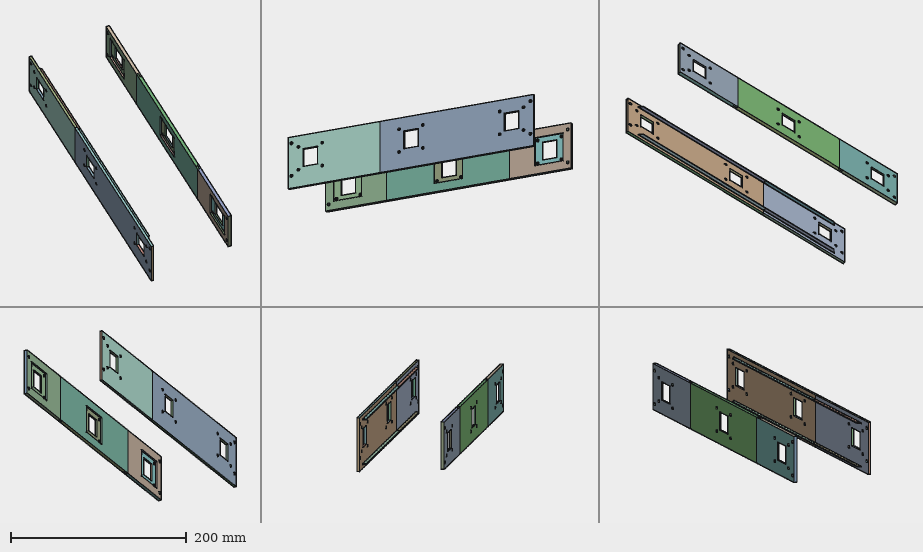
import cadquery as cq

length = 310.0
overall_depth = 102.0

front_thickness = 3.05
front_height = 62.5
front_seam_x = -39.0

rib_depth = 4.0
rib_thickness = 1.0
rib_inset_z = 5.3
rib_end_gap = 15.0
rib_end_slant = 4.0

rear_thickness = 4.0
rear_height = 55.2
lap_centre_x = 75.0
lap_length = 5.3

station_pitch = 127.0
window_width = 18.3
window_height = 21.7
screw_pitch_x = 30.0
screw_pitch_z = 28.0
screw_diameter = 3.0

recess_width = 36.0
recess_height = 34.0
recess_depth = 2.0

mount_diameter = 3.5
mount_inset_x = 4.0
mount_pitch_z = 40.0

half_length = length / 2
panel_top = rear_height / 2
front_bottom = panel_top - front_height
rear_face_y = overall_depth - rear_thickness
lap_split_y = overall_depth - rear_thickness / 2
stations = [(step * station_pitch, 0) for step in (-1, 0, 1)]


def block(x_range, y_range, z_range):
    """Axis-aligned block between the given limits."""
    size = [high - low for low, high in (x_range, y_range, z_range)]
    corner = (x_range[0], y_range[0], z_range[0])
    return cq.Workplane("XY").box(*size, centered=False).translate(corner)


def plane_at(y):
    """XZ sketch plane at depth y; its normal is -Y, so a negative extrusion runs toward +Y."""
    return cq.Workplane("XZ", origin=(0, y, 0))


def panel_openings(y, depth):
    """Windows, screw holes and end mounting holes, as one cutter starting at y."""
    windows = plane_at(y).pushPoints(stations).rect(window_width, window_height).extrude(-depth)
    screw_points = [
        (x + side * screw_pitch_x / 2, level * screw_pitch_z / 2)
        for x, _ in stations for side in (-1, 1) for level in (-1, 1)
    ]
    screws = plane_at(y).pushPoints(screw_points).circle(screw_diameter / 2).extrude(-depth)
    mount_pitch_x = length - 2 * mount_inset_x
    mounts = (
        plane_at(y).rect(mount_pitch_x, mount_pitch_z, forConstruction=True)
        .vertices().circle(mount_diameter / 2).extrude(-depth)
    )
    return windows.add(screws).add(mounts).combine()


def rib(z_centre):
    """Rib along X with slanted ends, standing on the back of the front panel."""
    base_x = half_length - rib_end_gap
    tip_x = base_x - rib_end_slant
    tip_y = front_thickness + rib_depth
    outline = [(-base_x, front_thickness), (base_x, front_thickness), (tip_x, tip_y), (-tip_x, tip_y)]
    bottom = z_centre - rib_thickness / 2
    return cq.Workplane("XY", origin=(0, 0, bottom)).polyline(outline).close().extrude(rib_thickness)


def front_panel_piece(x_start, x_end):
    """Part of the ribbed front panel between two X limits."""
    panel = block((-half_length, half_length), (0, front_thickness), (front_bottom, panel_top))
    for z in (front_bottom + rib_inset_z, panel_top - rib_inset_z):
        panel = panel.union(rib(z))
    panel = panel.cut(panel_openings(0, front_thickness))
    span = block((x_start, x_end), (0, front_thickness + rib_depth), (front_bottom, panel_top))
    return panel.intersect(span)


def rear_panel():
    """Whole rear panel with openings and recesses, before it is divided."""
    panel = block((-half_length, half_length), (rear_face_y, overall_depth), (-panel_top, panel_top))
    recesses = (
        plane_at(rear_face_y).pushPoints(stations)
        .rect(recess_width, recess_height).extrude(-recess_depth)
    )
    return panel.cut(recesses).cut(panel_openings(rear_face_y, rear_thickness))


def rear_middle_span():
    """Space of the middle piece: its front half overlaps the end pieces at the laps."""
    front_x = lap_centre_x + lap_length / 2
    back_x = lap_centre_x - lap_length / 2
    z_range = (-panel_top, panel_top)
    front_layer = block((-front_x, front_x), (rear_face_y, lap_split_y), z_range)
    back_layer = block((-back_x, back_x), (lap_split_y, overall_depth), z_range)
    return front_layer.union(back_layer)


def rear_end_piece(side):
    """End piece of the rear panel; side is -1 for the left end and 1 for the right end."""
    x_range = sorted((0, side * half_length))
    half = block(x_range, (rear_face_y, overall_depth), (-panel_top, panel_top))
    return rear_panel().intersect(half).cut(rear_middle_span())


front_left = front_panel_piece(-half_length, front_seam_x)
front_right = front_panel_piece(front_seam_x, half_length)
rear_middle = rear_panel().intersect(rear_middle_span())
rear_ends = [rear_end_piece(side) for side in (-1, 1)]

result = cq.Compound.makeCompound(
    [front_left.val(), front_right.val(), rear_middle.val(), *[piece.val() for piece in rear_ends]]
)